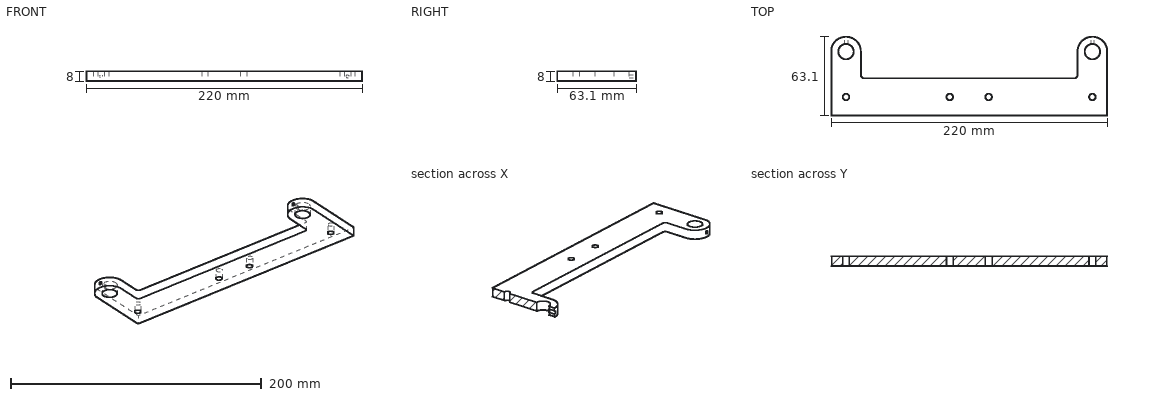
import cadquery as cq

length = 220.0
depth = 63.1
thickness = 8.0

end_diameter = 24.0
end_radius = end_diameter / 2
arm_inset = 11.7
arm_width = arm_inset + end_radius
bar_depth = 30.0
corner_radius = 2.5

pivot_diameter = 12.0
screw_diameter = 5.0
screw_height = 15.0
middle_spacing = 31.0
cross_diameter = 2.5

arm_x = length / 2 - arm_inset
pivot_y = depth - end_radius


def arm(side):
    """Straight arm from the front edge with a round end, trimmed flush with the outer side."""
    straight = (
        cq.Workplane("XY")
        .center(side * (length - arm_width) / 2, pivot_y / 2)
        .rect(arm_width, pivot_y)
        .extrude(thickness)
    )
    rounded_end = cq.Workplane("XY").center(side * arm_x, pivot_y).circle(end_radius).extrude(thickness)
    envelope = cq.Workplane("XY").center(0, depth / 2).rect(length, depth).extrude(thickness)
    return straight.union(rounded_end.intersect(envelope))


plate = cq.Workplane("XY").center(0, bar_depth / 2).rect(length, bar_depth).extrude(thickness)
for side in (-1, 1):
    plate = plate.union(arm(side))
plate = plate.clean()

for side in (-1, 1):
    corner = (side * (length / 2 - arm_width), bar_depth, thickness / 2)
    plate = plate.edges(cq.selectors.NearestToPointSelector(corner)).fillet(corner_radius)


def drill(body, points, diameter):
    """Cut through holes of one diameter at the given points."""
    holes = cq.Workplane("XY").pushPoints(points).circle(diameter / 2).extrude(thickness)
    return body.cut(holes)


pivot_points = [(side * arm_x, pivot_y) for side in (-1, 1)]
screw_points = [
    (side * x, screw_height)
    for side in (-1, 1)
    for x in (middle_spacing / 2, arm_x)
]
plate = drill(plate, pivot_points, pivot_diameter)
plate = drill(plate, screw_points, screw_diameter)

for side in (-1, 1):
    cross_hole = cq.Workplane("XZ", origin=(side * arm_x, pivot_y, thickness / 2))
    plate = plate.cut(cross_hole.circle(cross_diameter / 2).extrude(-end_radius))

result = plate